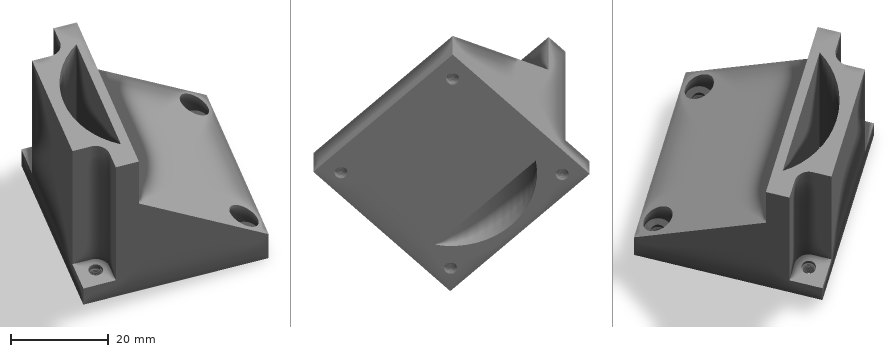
import cadquery as cq
import math

side = 40.0

wall_thickness = 12.0
back_height = 7.4
slope_angle = 35.0
slope_top = back_height + (side - wall_thickness) * math.tan(math.radians(slope_angle))

bore_diameter = 35.0
flat_y = 10.0

screw_inset = 4.0
seat_height = 5.0
head_radius = 3.0
hole_diameter = 3.0

thread_pitch = hole_diameter / 6
thread_length = 4.0
thread_start_angle = 120.0
flank_slope = math.tan(math.radians(30))
crest_flat = thread_pitch / 4
root_flat = thread_pitch / 8
flank_height = (thread_pitch - crest_flat - root_flat) / 2
root_radius = hole_diameter / 2
crest_radius = root_radius - flank_height / flank_slope
thread_overlap = 0.05


def make_body():
    profile = [
        (0, 0),
        (side, 0),
        (side, back_height),
        (wall_thickness, slope_top),
        (wall_thickness, side),
        (0, side),
    ]
    return cq.Workplane("YZ").polyline(profile).close().extrude(side)


def make_segment_opening():
    """Vertical cutter bounded by the flat and the front arc of the bore."""
    middle = side / 2
    bore_radius = bore_diameter / 2
    half_chord = math.sqrt(bore_radius**2 - (middle - flat_y) ** 2)
    return (
        cq.Workplane("XY")
        .moveTo(middle - half_chord, flat_y)
        .threePointArc((middle, middle - bore_radius), (middle + half_chord, flat_y))
        .close()
        .extrude(side)
    )


def make_corner_relief():
    """Rounded notch that clears a screw head in the front corner at the origin."""
    reach = screw_inset + head_radius
    notch = cq.Workplane("XY", origin=(0, 0, seat_height)).rect(reach, reach, centered=False)
    return notch.extrude(side - seat_height).edges("|Z and >X and >Y").fillet(head_radius)


def make_head_clearance(x, y):
    return cq.Workplane("XY", origin=(x, y, seat_height)).circle(head_radius).extrude(side)


def make_hole(x, y):
    return cq.Workplane("XY", origin=(x, y, 0)).circle(hole_diameter / 2).extrude(seat_height)


def make_thread():
    """Helical ridge around the Z axis, started one turn low and trimmed level at the bottom."""
    helix = cq.Wire.makeHelix(thread_pitch, thread_length + thread_pitch, root_radius)
    base_radius = root_radius + thread_overlap
    half_crest = crest_flat / 2
    half_base = half_crest + (base_radius - crest_radius) * flank_slope
    profile = [
        (base_radius, -half_base),
        (crest_radius, -half_crest),
        (crest_radius, half_crest),
        (base_radius, half_base),
    ]
    ridge = cq.Workplane("XZ").polyline(profile).close().sweep(cq.Workplane(obj=helix), isFrenet=True)
    ridge = ridge.rotate((0, 0, 0), (0, 0, 1), thread_start_angle).translate((0, 0, -thread_pitch))
    return ridge.intersect(cq.Workplane("XY").circle(hole_diameter).extrude(seat_height))


front_relief = make_corner_relief()
opposite_relief = front_relief.mirror("YZ").translate((side, 0, 0))
thread = make_thread()
near_inset = screw_inset
far_inset = side - screw_inset

result = make_body().cut(make_segment_opening()).cut(front_relief).cut(opposite_relief)
for screw_x in (near_inset, far_inset):
    result = result.cut(make_head_clearance(screw_x, far_inset))
    for screw_y in (near_inset, far_inset):
        result = result.cut(make_hole(screw_x, screw_y))
        result = result.union(thread.translate((screw_x, screw_y, 0)))
result = result.solids()